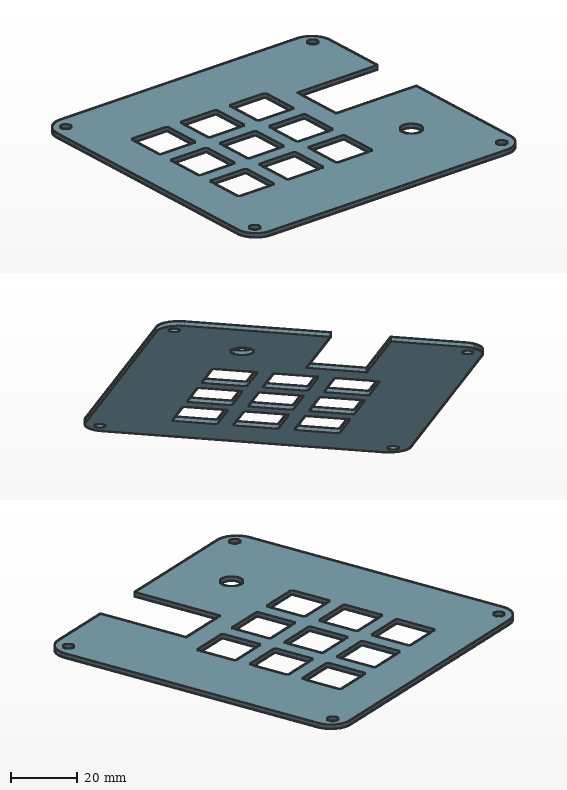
import cadquery as cq

PLATE_WIDTH = 101.4
PLATE_LENGTH = 105.9
PLATE_THICKNESS = 1.5
CORNER_RADIUS = 7.0

MOUNT_HOLE_DIAMETER = 3.4
MOUNT_HOLE_INSET = 5.0

KEY_COUNT = 3
KEY_PITCH = 19.05
KEY_SIZE = 14.0
KEY_CORNER_RADIUS = 0.6
KEY_GRID_CENTER = (-0.45, -12.0)

NOTCH_WIDTH = 18.7
NOTCH_DEPTH = 31.1
NOTCH_CENTER_X = -11.2

ROUND_HOLE_DIAMETER = 7.0
ROUND_HOLE_CENTER = (20.9, 32.8)


def make_plate():
    """Flat plate with rounded corners, its underside on Z = 0."""
    plate = cq.Workplane("XY").rect(PLATE_WIDTH, PLATE_LENGTH).extrude(PLATE_THICKNESS)
    return plate.edges("|Z").fillet(CORNER_RADIUS)


def make_mount_holes():
    """Cutters for the four corner holes."""
    spacing_x = PLATE_WIDTH - 2 * MOUNT_HOLE_INSET
    spacing_y = PLATE_LENGTH - 2 * MOUNT_HOLE_INSET
    return (
        cq.Workplane("XY")
        .rect(spacing_x, spacing_y, forConstruction=True)
        .vertices()
        .circle(MOUNT_HOLE_DIAMETER / 2)
        .extrude(PLATE_THICKNESS)
    )


def make_key_openings():
    """Cutters for the grid of key openings, with small corner rounds."""
    return (
        cq.Workplane("XY")
        .center(*KEY_GRID_CENTER)
        .rarray(KEY_PITCH, KEY_PITCH, KEY_COUNT, KEY_COUNT)
        .rect(KEY_SIZE, KEY_SIZE)
        .extrude(PLATE_THICKNESS)
        .edges("|Z")
        .fillet(KEY_CORNER_RADIUS)
    )


def make_notch():
    """Cutter for the notch, ending flush with the +Y edge."""
    notch_center_y = (PLATE_LENGTH - NOTCH_DEPTH) / 2
    return (
        cq.Workplane("XY")
        .center(NOTCH_CENTER_X, notch_center_y)
        .rect(NOTCH_WIDTH, NOTCH_DEPTH)
        .extrude(PLATE_THICKNESS)
    )


def make_round_hole():
    """Cutter for the single round hole."""
    return (
        cq.Workplane("XY")
        .center(*ROUND_HOLE_CENTER)
        .circle(ROUND_HOLE_DIAMETER / 2)
        .extrude(PLATE_THICKNESS)
    )


result = (
    make_plate()
    .cut(make_mount_holes())
    .cut(make_key_openings())
    .cut(make_notch())
    .cut(make_round_hole())
)